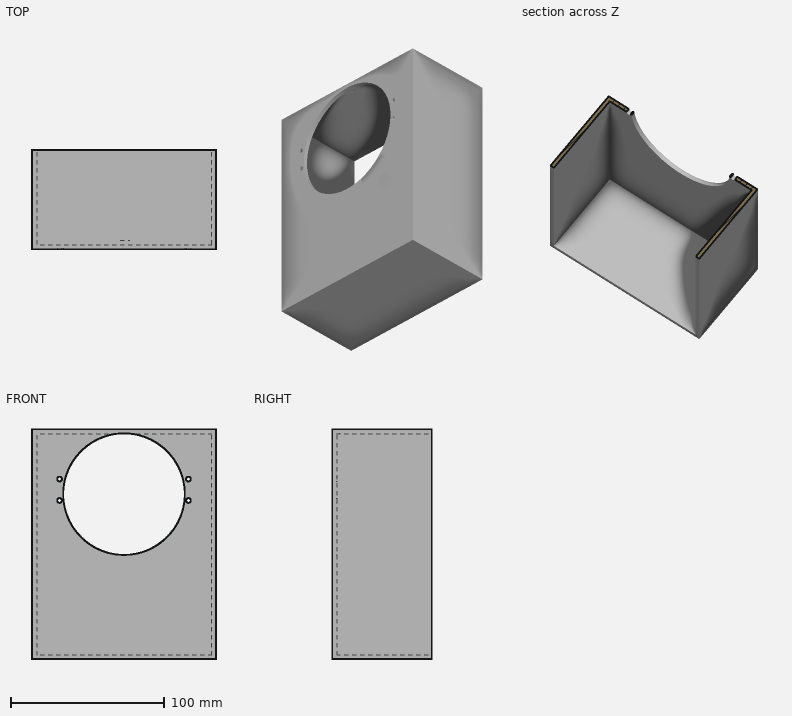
import cadquery as cq

width = 120.0
depth = 65.0
height = 150.0
wall = 3.0

opening_diameter = 79.2
opening_drop = 42.5

screw_diameter = 3.0
screw_spacing_x = 84.0
screw_spacing_z = 14.0
screw_drop = 39.6

box = cq.Workplane("XY").box(width, depth, height, centered=(True, False, False))

housing = box.faces(">Y").shell(-wall)


def front_drill(diameter, drop, points):
    """Cylinders through the front wall, placed around a centre below the top face."""
    return (
        cq.Workplane("XZ", origin=(0, 0, height - drop))
        .pushPoints(points)
        .circle(diameter / 2)
        .extrude(-2 * wall)
    )


screw_points = [
    (side * screw_spacing_x / 2, level * screw_spacing_z / 2)
    for side in (-1, 1)
    for level in (-1, 1)
]

opening = front_drill(opening_diameter, opening_drop, [(0, 0)])
screw_holes = front_drill(screw_diameter, screw_drop, screw_points)

result = housing.cut(opening).cut(screw_holes)